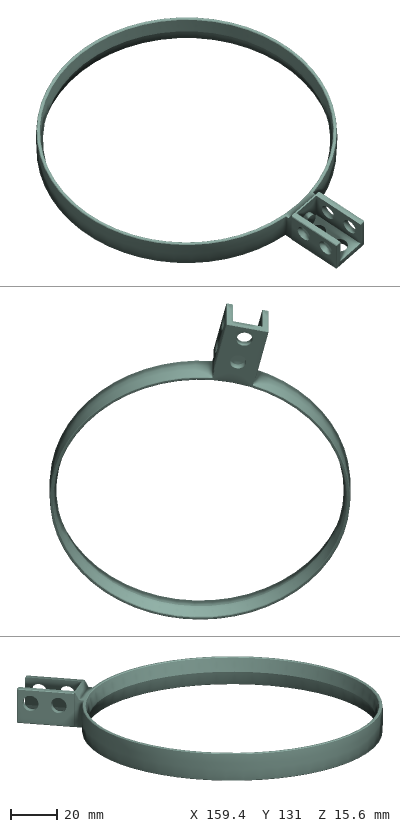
import cadquery as cq

band_height = 12.5
band_mid_radius = 65.48
band_end_radius = 65.1
lip_radius = 63.7
ridge_radius = 62.3
lip_chamfer = 0.25

lug_height = 15.62
lug_end_x = 93.9
lug_start_x = 68.3
lug_width = 18.8
lug_edge_chamfer = 0.3

neck_width = 18.0
neck_start_x = 64.2
slope_bottom_x = 66.1
slope_top_x = 67.9

side_wall = 2.8
floor_thickness = 3.0
back_wall_end_x = 68.6

hole_diameter = 7.0
hole_spacing = 12.5
last_hole_to_end = 6.2
cross_hole_z = 9.45

boss_diameter = 6.7
boss_start_x = slope_top_x
boss_end_x = 71.0
boss_z = band_height / 2

last_hole_x = lug_end_x - last_hole_to_end
hole_xs = [last_hole_x - hole_spacing, last_hole_x]


def make_band():
    """Revolve the band section around Z and break the edges of both lips."""
    middle_z = band_height / 2
    section = (
        cq.Workplane("XZ")
        .moveTo(lip_radius, 0)
        .lineTo(band_end_radius, 0)
        .threePointArc((band_mid_radius, middle_z), (band_end_radius, band_height))
        .lineTo(lip_radius, band_height)
        .lineTo(ridge_radius, middle_z)
        .close()
    )
    band = section.revolve(360, (0, 0, 0), (0, 1, 0))
    return band.faces("<Z or >Z").edges().chamfer(lip_chamfer)


def make_neck():
    """Bridge between band and lug, with a slope rising to the lug top."""
    return (
        cq.Workplane("XZ")
        .moveTo(neck_start_x, 0)
        .lineTo(back_wall_end_x, 0)
        .lineTo(back_wall_end_x, lug_height)
        .lineTo(slope_top_x, lug_height)
        .lineTo(slope_bottom_x, band_height)
        .lineTo(neck_start_x, band_height)
        .close()
        .extrude(neck_width / 2, both=True)
    )


def make_lug():
    """Block with its long outer edges and its +X face chamfered."""
    return (
        cq.Workplane("XY")
        .box(lug_end_x - lug_start_x, lug_width, lug_height, centered=(False, True, False))
        .translate((lug_start_x, 0, 0))
        .edges("|X or >X")
        .chamfer(lug_edge_chamfer)
    )


def make_channel():
    """Space between the side walls, open at the top and at the +X end."""
    channel_length = lug_end_x - back_wall_end_x
    channel_width = lug_width - 2 * side_wall
    return (
        cq.Workplane("XY")
        .box(channel_length, channel_width, lug_height, centered=(False, True, False))
        .translate((back_wall_end_x, 0, floor_thickness))
    )


def make_boss():
    """Short cylinder standing out from the back wall into the channel."""
    return (
        cq.Workplane("YZ", origin=(boss_start_x, 0, boss_z))
        .circle(boss_diameter / 2)
        .extrude(boss_end_x - boss_start_x)
    )


def make_holes():
    """Cutters for the upright and the crosswise bolt holes."""
    upright = (
        cq.Workplane("XY")
        .pushPoints([(x, 0) for x in hole_xs])
        .circle(hole_diameter / 2)
        .extrude(lug_height)
    )
    crosswise = (
        cq.Workplane("XZ")
        .pushPoints([(x, cross_hole_z) for x in hole_xs])
        .circle(hole_diameter / 2)
        .extrude(lug_width, both=True)
    )
    return upright.union(crosswise)


lug = make_neck().union(make_lug()).cut(make_channel()).union(make_boss())
result = make_band().union(lug).cut(make_holes())